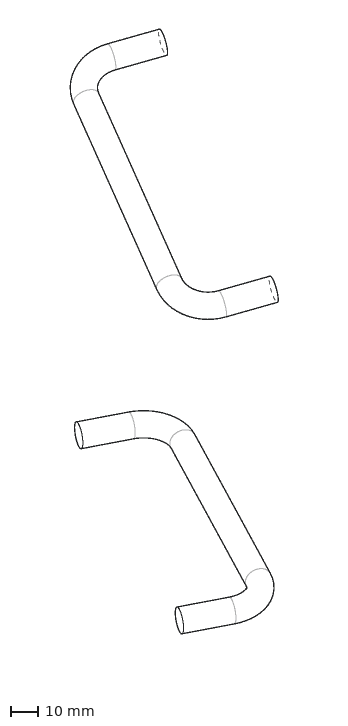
import cadquery as cq

ROD_DIAMETER = 10.0
OVERALL_LENGTH = 130.0
OVERALL_DEPTH = 40.0
BEND_RADIUS = 15.0

ROD_RADIUS = ROD_DIAMETER / 2
LEG_X = OVERALL_LENGTH / 2 - ROD_RADIUS
GRIP_Y = ROD_RADIUS - OVERALL_DEPTH
BEND_START_Y = GRIP_Y + BEND_RADIUS
GRIP_END_X = LEG_X - BEND_RADIUS


def handle_centreline():
    """U-shaped path in the XY plane: leg, bend, grip, bend, leg."""
    return (
        cq.Workplane("XY")
        .moveTo(-LEG_X, 0)
        .lineTo(-LEG_X, BEND_START_Y)
        .tangentArcPoint((-GRIP_END_X, GRIP_Y), relative=False)
        .lineTo(GRIP_END_X, GRIP_Y)
        .tangentArcPoint((LEG_X, BEND_START_Y), relative=False)
        .lineTo(LEG_X, 0)
    )


def bent_rod():
    """Round rod swept along the handle centreline."""
    rod_section = cq.Workplane("XZ", origin=(-LEG_X, 0, 0)).circle(ROD_RADIUS)
    return rod_section.sweep(handle_centreline())


result = bent_rod()